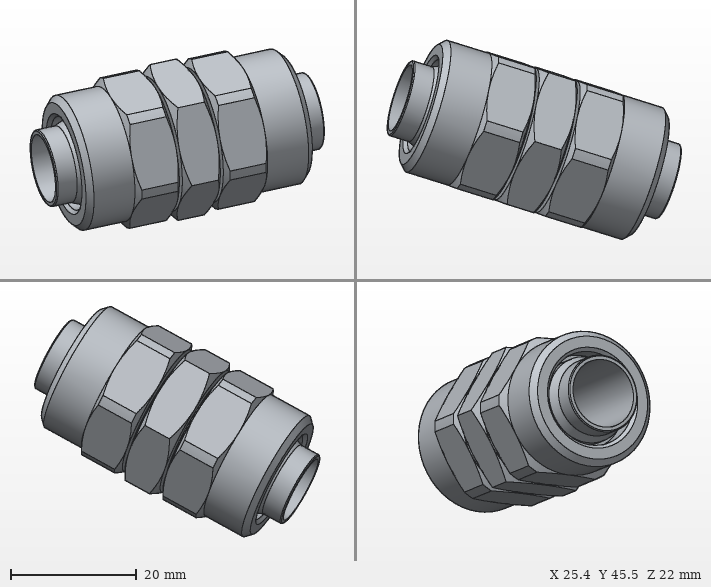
import cadquery as cq
import math

half_length = 22.75
across_flats = 22.0
corner_bevel_slope = math.tan(math.radians(30))
bevel_face_diameter = across_flats

body_half_width = 3.25
neck_diameter = 18.35
neck_bevel = 0.25

nut_inner_end = 3.75
nut_collar_start = 11.3
nut_outer_end = 19.25
nut_corner_diameter = 24.5
collar_diameter = across_flats
collar_chamfer = 1.0
mouth_diameter = 16.43
nut_hole_diameter = 15.3
mouth_chamfer = (mouth_diameter - nut_hole_diameter) / 2

bore_diameter = 11.0
spigot_diameter = 12.5
spigot_base_diameter = 14.0
spigot_tip_chamfer = 0.2
cone_outer_end = 19.35
cone_inner_end = 17.5
gap_floor = 15.55


def revolve_profile(points):
    """Revolve (radius, y) points about the Y axis."""
    return cq.Workplane("XY").polyline(points).close().revolve(360, (0, 0, 0), (0, 1, 0))


def bevelled_hexagon(y_start, y_end, corner_diameter):
    """Hexagon with corners on +-X, trimmed round and bevelled conically at both ends."""
    hexagon = (
        cq.Workplane("XZ", origin=(0, y_start, 0))
        .polygon(6, across_flats / math.cos(math.pi / 6))
        .extrude(y_start - y_end)
    )
    corner_radius = corner_diameter / 2
    face_radius = bevel_face_diameter / 2
    bevel = (corner_radius - face_radius) * corner_bevel_slope
    envelope = revolve_profile([
        (0, y_start),
        (face_radius, y_start),
        (corner_radius, y_start + bevel),
        (corner_radius, y_end - bevel),
        (face_radius, y_end),
        (0, y_end),
    ])
    return hexagon.intersect(envelope)


def nut_collar():
    """Round outer part of a nut, with a chamfered rim."""
    radius = collar_diameter / 2
    return revolve_profile([
        (0, nut_collar_start),
        (radius, nut_collar_start),
        (radius, nut_outer_end - collar_chamfer),
        (radius - collar_chamfer, nut_outer_end),
        (0, nut_outer_end),
    ])


def nut_mouth():
    """Chamfered hole in the nut's outer face that leaves a gap around the spigot."""
    hole_radius = nut_hole_diameter / 2
    return revolve_profile([
        (0, gap_floor),
        (hole_radius, gap_floor),
        (hole_radius, nut_outer_end - mouth_chamfer),
        (mouth_diameter / 2, nut_outer_end),
        (0, nut_outer_end),
    ])


def spigot():
    """Hose spigot that widens conically towards the nut."""
    radius = spigot_diameter / 2
    return revolve_profile([
        (0, nut_inner_end),
        (spigot_base_diameter / 2, nut_inner_end),
        (spigot_base_diameter / 2, cone_inner_end),
        (radius, cone_outer_end),
        (radius, half_length - spigot_tip_chamfer),
        (radius - spigot_tip_chamfer, half_length),
        (0, half_length),
    ])


def neck():
    """Neck bridging the body hexagon and a nut."""
    return revolve_profile([
        (0, 0),
        (neck_diameter / 2, 0),
        (neck_diameter / 2, nut_inner_end - neck_bevel),
        (neck_diameter / 2 - neck_bevel, nut_inner_end),
        (0, nut_inner_end),
    ])


nut = bevelled_hexagon(nut_inner_end, nut_collar_start, nut_corner_diameter).union(nut_collar())
half = nut.cut(nut_mouth()).union(spigot()).union(neck())

body_corner_diameter = across_flats / math.cos(math.pi / 6)
body = bevelled_hexagon(-body_half_width, body_half_width, body_corner_diameter)
bore = cq.Workplane("XZ").circle(bore_diameter / 2).extrude(half_length, both=True)

result = body.union(half).union(half.mirror("XZ")).cut(bore)